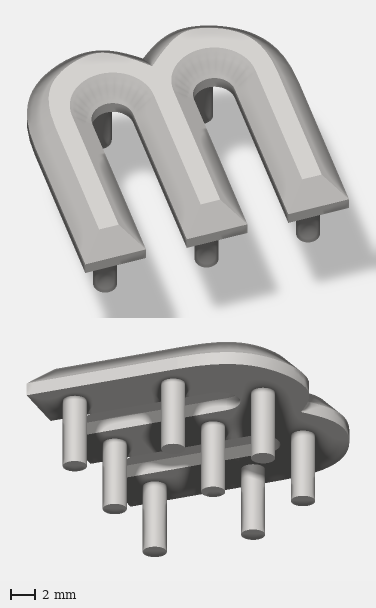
import cadquery as cq
import math

LENGTH = 22.0
WIDTH = 23.0
PLATE_THICKNESS = 2.9
PIN_LENGTH = 6.0

ARM_WIDTH = 5.3
SLOT_WIDTH = (WIDTH - 3 * ARM_WIDTH) / 2
SLOT_CENTER_X = 7.65
ARM_PITCH = ARM_WIDTH + SLOT_WIDTH
SLOT_CENTER_Y = ARM_PITCH / 2
BEVEL = 1.8

FLANK_START = (8.5, WIDTH / 2)
SHOULDER = (1.55, 8.66)
NOSE = (0.0, 4.55)
NOTCH = (2.1, 0.0)
NOTCH_ANGLE = 48.0

PIN_DIAMETER = 2.0
ARM_PIN_X = 18.7
ARM_ROOT_PIN_X = 9.9
NOSE_PIN_X = 3.65
PIN_PATTERN_SHIFT_Y = 0.15


def lobe_half():
    """Half of the E-shaped plate on the +Y side, without its slot."""
    angle = math.radians(NOTCH_ANGLE)
    notch_direction = (math.cos(angle), -math.sin(angle))
    return (
        cq.Workplane("XY")
        .moveTo(LENGTH, 0)
        .lineTo(LENGTH, WIDTH / 2)
        .lineTo(*FLANK_START)
        .spline([SHOULDER, NOSE, NOTCH], tangents=[(-1, 0), notch_direction], includeCurrent=True)
        .close()
        .extrude(PLATE_THICKNESS)
    )


def slot(center_y):
    """Cutter for a slot that is round at the nose and open at the arm tips."""
    radius = SLOT_WIDTH / 2
    return (
        cq.Workplane("XY")
        .moveTo(LENGTH, center_y + radius)
        .lineTo(SLOT_CENTER_X, center_y + radius)
        .threePointArc((SLOT_CENTER_X - radius, center_y), (SLOT_CENTER_X, center_y - radius))
        .lineTo(LENGTH, center_y - radius)
        .close()
        .extrude(PLATE_THICKNESS)
    )


def beveled_plate():
    """Plate with every top edge beveled at 45 degrees."""
    half = lobe_half()
    plate = half.union(half.mirror("XZ")).clean()
    for side in (-1, 1):
        plate = plate.cut(slot(side * SLOT_CENTER_Y))
    return plate.faces(">Z").edges().chamfer(BEVEL)


def pins():
    """Two pins under each arm and one under each nose."""
    positions = []
    for arm in (-1, 0, 1):
        arm_y = arm * ARM_PITCH + PIN_PATTERN_SHIFT_Y
        positions.append((ARM_PIN_X, arm_y))
        positions.append((ARM_ROOT_PIN_X, arm_y))
    for side in (-1, 1):
        positions.append((NOSE_PIN_X, side * SLOT_CENTER_Y + PIN_PATTERN_SHIFT_Y))
    return (
        cq.Workplane("XY")
        .pushPoints(positions)
        .circle(PIN_DIAMETER / 2)
        .extrude(-PIN_LENGTH)
    )


result = beveled_plate().union(pins())